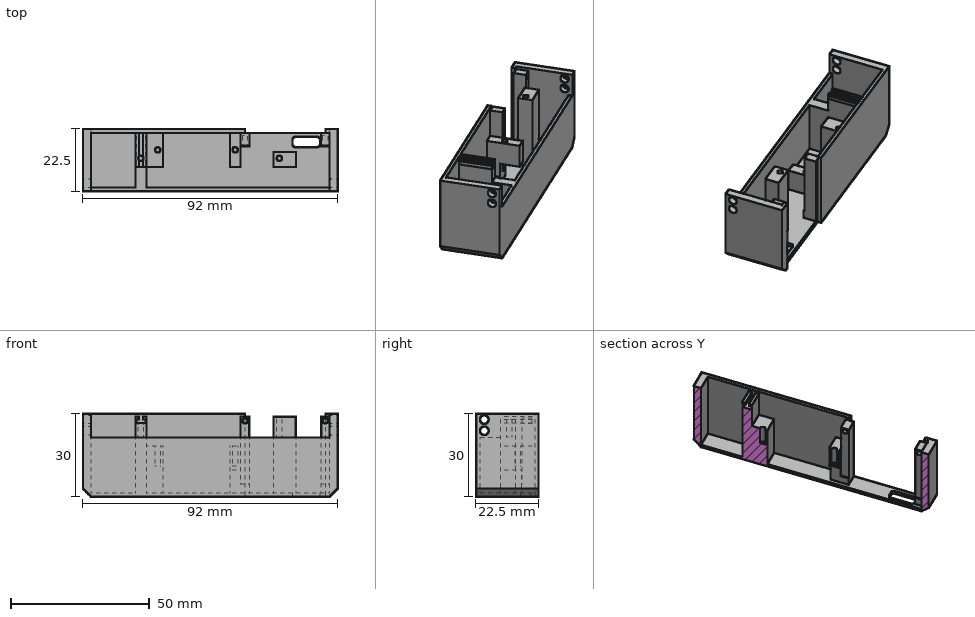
import cadquery as cq

LENGTH = 92.0
DEPTH = 22.5
HEIGHT = 30.0
END_WALL = 2.9
LONG_WALL = 1.4
FLOOR = LONG_WALL
END_CHAMFER = 2.9
FRONT_WALL_TOP = 21.4
REAR_FACE = DEPTH - LONG_WALL

PEG_WIDTH = 3.1
OPENING_LEFT = 58.5
OPENING_RIGHT = LENGTH - END_WALL - PEG_WIDTH / 2

END_HOLE_DIAMETER = 3.0
END_HOLE_Y = 2.9
END_HOLE_DROP = 2.1
END_HOLE_PITCH = 4.05

FLOOR_SLOT_X = 80.6
FLOOR_SLOT_Y = 17.85
FLOOR_SLOT_LENGTH = 9.8
FLOOR_SLOT_WIDTH = 3.7
FLOOR_SLOT_RADIUS = 1.0

SCREW_DIAMETER = 1.9
SCREW_DEPTH = 7.4
POST_DROP = 1.1
POST_TOP = HEIGHT - POST_DROP
LOW_POST_TOP = 18.4
POST_FRONT = 8.8
POST_WIDTH = 4.0

PARTITION_LEFT = 18.95
PARTITION_X = PARTITION_LEFT + POST_WIDTH / 2
TALL_SCREW_Y = 12.0
LIP_GAP = 1.4
LIP_THICKNESS = 0.9
CHANNEL_WIDTH = 3.1
CHANNEL_HEIGHT = 1.4

LOW_BLOCK_RIGHT = 28.9
LOW_SCREW_Y = 15.0
LOW_SCREW_PITCH = 28.0
LOW_POST_LEFT = 53.0
LOW_POST_X = LOW_POST_LEFT + POST_WIDTH / 2
NOTCH_REAR = 16.3
NOTCH_TOP = 9.75

TALL_POST_LEFT = 68.7
TALL_POST_WIDTH = 8.1
TALL_POST_DEPTH = 5.3
TALL_SCREW_PITCH = 50.0

PEG_FRONT = 16.6
PEG_FOOT_STEP = 0.3
PEG_FOOT_TOP = 4.6
PEG_HOLE_DROP = 1.5
PEG_HOLE_DEPTH = 3.7


def block(x0, x1, y0, y1, z0, z1):
    """Box between two limits on each axis."""
    return cq.Workplane("XY").box(x1 - x0, y1 - y0, z1 - z0, centered=False).translate((x0, y0, z0))


def screw_hole(x, y, top):
    """Blind vertical screw hole going down from a post top."""
    return cq.Workplane("XY", origin=(x, y, top)).circle(SCREW_DIAMETER / 2).extrude(-SCREW_DEPTH)


def make_case():
    """Open box with chamfered lower ends, a low front wall and a gap in the rear wall."""
    case = block(0, LENGTH, 0, DEPTH, 0, HEIGHT)
    case = case.edges("<Z and |Y").chamfer(END_CHAMFER)
    inner_right = LENGTH - END_WALL
    case = case.cut(block(END_WALL, inner_right, LONG_WALL, REAR_FACE, FLOOR, HEIGHT))
    case = case.cut(block(END_WALL, inner_right, 0, LONG_WALL, FRONT_WALL_TOP, HEIGHT))
    return case.cut(block(OPENING_LEFT, OPENING_RIGHT, REAR_FACE, DEPTH, 0, HEIGHT))


def end_holes():
    """Two stacked holes running through both end walls."""
    upper_z = HEIGHT - END_HOLE_DROP
    centres = [(END_HOLE_Y, upper_z), (END_HOLE_Y, upper_z - END_HOLE_PITCH)]
    return cq.Workplane("YZ").pushPoints(centres).circle(END_HOLE_DIAMETER / 2).extrude(LENGTH)


def floor_slot():
    """Rounded rectangular opening in the floor."""
    slot = cq.Workplane("XY", origin=(FLOOR_SLOT_X, FLOOR_SLOT_Y, 0))
    slot = slot.rect(FLOOR_SLOT_LENGTH, FLOOR_SLOT_WIDTH).extrude(FLOOR)
    return slot.edges("|Z").fillet(FLOOR_SLOT_RADIUS)


def make_partition():
    """Cross wall with a low front part, a tall grooved rear part and a low block beside it."""
    right = PARTITION_LEFT + POST_WIDTH
    wall = block(PARTITION_LEFT, right, LONG_WALL, REAR_FACE, FLOOR, FRONT_WALL_TOP)
    wall = wall.union(block(PARTITION_LEFT, right, POST_FRONT, REAR_FACE, FLOOR, POST_TOP))
    wall = wall.union(block(right, LOW_BLOCK_RIGHT, POST_FRONT, REAR_FACE, FLOOR, LOW_POST_TOP))

    lip_bottom = POST_TOP - LIP_THICKNESS
    for width, bottom, top in (
        (LIP_GAP, lip_bottom, POST_TOP),
        (CHANNEL_WIDTH, lip_bottom - CHANNEL_HEIGHT, lip_bottom),
    ):
        left = PARTITION_X - width / 2
        wall = wall.cut(block(left, left + width, POST_FRONT, REAR_FACE, bottom, top))

    wall = wall.cut(screw_hole(PARTITION_X, TALL_SCREW_Y, POST_TOP))
    return wall.cut(screw_hole(LOW_POST_X - LOW_SCREW_PITCH, LOW_SCREW_Y, LOW_POST_TOP))


def make_low_post():
    """Post against the rear wall, undercut at its lower front."""
    right = LOW_POST_LEFT + POST_WIDTH
    post = block(LOW_POST_LEFT, right, POST_FRONT, REAR_FACE, FLOOR, LOW_POST_TOP)
    post = post.cut(block(LOW_POST_LEFT, right, POST_FRONT, NOTCH_REAR, FLOOR, NOTCH_TOP))
    return post.cut(screw_hole(LOW_POST_X, LOW_SCREW_Y, LOW_POST_TOP))


def make_tall_post():
    """Free-standing post with an off-centre screw hole."""
    right = TALL_POST_LEFT + TALL_POST_WIDTH
    post = block(TALL_POST_LEFT, right, POST_FRONT, POST_FRONT + TALL_POST_DEPTH, FLOOR, POST_TOP)
    return post.cut(screw_hole(PARTITION_X + TALL_SCREW_PITCH, TALL_SCREW_Y, POST_TOP))


def make_peg(x):
    """Peg with a slightly deeper foot and a blind hole in its front face."""
    left = x - PEG_WIDTH / 2
    right = left + PEG_WIDTH
    peg = block(left, right, PEG_FRONT, REAR_FACE, FLOOR, POST_TOP)
    peg = peg.union(block(left, right, PEG_FRONT - PEG_FOOT_STEP, REAR_FACE, FLOOR, PEG_FOOT_TOP))
    centre = (x, PEG_FRONT, POST_TOP - PEG_HOLE_DROP)
    hole = cq.Workplane("XZ", origin=centre).circle(SCREW_DIAMETER / 2).extrude(-PEG_HOLE_DEPTH)
    return peg.cut(hole)


result = make_case().cut(end_holes()).cut(floor_slot())
result = result.union(make_partition()).union(make_low_post()).union(make_tall_post())
for peg_x in (OPENING_LEFT, OPENING_RIGHT):
    result = result.union(make_peg(peg_x))